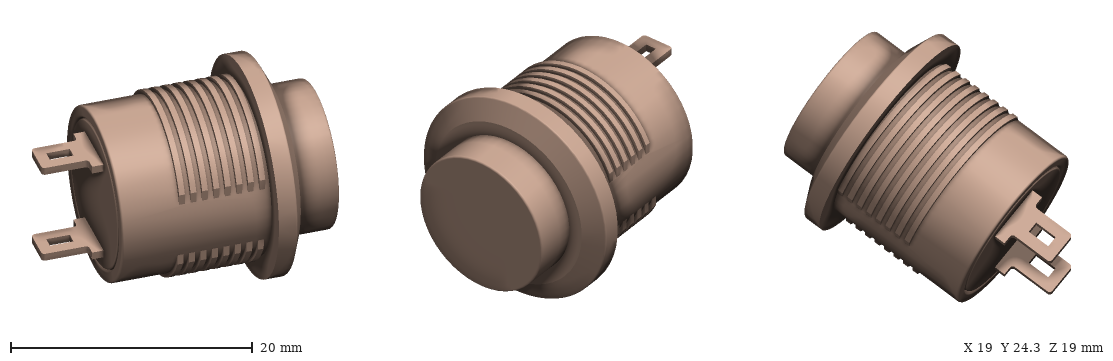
import cadquery as cq


body_length = 13.0
button_height = 6.3
terminal_length = 5.0

button_radius = 6.37
edge_fillet = 0.2

flange_radius = 9.5
flange_thickness = 2.5
flange_rim_width = 1.6
flange_front_radius = 7.65

body_radius = 7.5
bore_radius = 6.5
gap_depth = 0.49

thread_radius = 7.87
thread_turns = 8
thread_length = 8.0
thread_pitch = thread_length / thread_turns
thread_width = thread_pitch / 2
thread_start = 0.22
thread_embed = 0.36
flat_distance = 7.07

terminal_offset = 4.33
terminal_thickness = 0.68
shoulder_width = 5.05
shoulder_length = 1.0
tongue_width = 3.01
tongue_fillet = 0.3
slot_width = 1.0
slot_length = 2.05
slot_tip_margin = 1.0


def cylinder(radius, y_rear, y_front):
    """Cylinder on the Y axis between two Y positions."""
    front_plane = cq.Workplane("XZ", origin=(0, y_front, 0))
    return front_plane.circle(radius).extrude(y_front - y_rear)


def make_body():
    """Round barrel with an annular gap around the core at its rear end."""
    gap_front = gap_depth - body_length
    barrel = cylinder(body_radius, -body_length, 0)
    barrel = barrel.cut(cylinder(bore_radius, -body_length, gap_front))
    barrel = barrel.faces("<Y").edges().fillet(edge_fillet)
    core = cylinder(button_radius, -body_length, gap_front)
    return barrel.union(core.faces("<Y").edges().fillet(edge_fillet))


def make_flange():
    """Flange whose front face narrows as a cone, with a rounded rim corner."""
    outline = [
        (0, 0),
        (flange_radius, 0),
        (flange_radius, flange_rim_width),
        (flange_front_radius, flange_thickness),
        (0, flange_thickness),
    ]
    flange = cq.Workplane("XY").polyline(outline).close().revolve(360, (0, 0, 0), (0, 1, 0))
    rim_corner = cq.selectors.NearestToPointSelector((0, flange_rim_width, 0))
    return flange.edges("%CIRCLE").edges(rim_corner).fillet(edge_fillet)


def make_button():
    """Push button with a rounded front edge."""
    button = cylinder(button_radius, 0, button_height)
    return button.faces(">Y").edges().fillet(edge_fillet)


def make_thread():
    """Helical ridge, trimmed to the space between the two flats."""
    inner_radius = body_radius - thread_embed
    ridge_height = thread_radius - inner_radius
    helix = cq.Wire.makeHelix(thread_pitch, thread_length, inner_radius, lefthand=True)
    ridge = (
        cq.Workplane("XZ")
        .center(inner_radius + ridge_height / 2, 0)
        .rect(ridge_height, thread_width)
        .sweep(cq.Workplane(obj=helix), isFrenet=True)
    )
    ridge = ridge.rotate((0, 0, 0), (0, 0, 1), 180)
    ridge = ridge.rotate((0, 0, 0), (1, 0, 0), 90)
    ridge = ridge.translate((0, -thread_start, 0))
    between_flats = cq.Workplane("XY").box(2 * flat_distance, 2 * body_length, 2 * thread_radius)
    return ridge.intersect(between_flats)


def make_terminal(z_center):
    """T-shaped flat terminal with a rectangular wire slot."""
    y_base = -body_length
    y_tip = y_base - terminal_length
    y_shoulder = y_base - shoulder_length
    y_slot = y_tip + slot_tip_margin + slot_length / 2
    plane = cq.Workplane("XY", origin=(0, 0, z_center - terminal_thickness / 2))
    outline = [
        (-shoulder_width / 2, y_base),
        (-shoulder_width / 2, y_shoulder),
        (-tongue_width / 2, y_shoulder),
        (-tongue_width / 2, y_tip),
        (tongue_width / 2, y_tip),
        (tongue_width / 2, y_shoulder),
        (shoulder_width / 2, y_shoulder),
        (shoulder_width / 2, y_base),
    ]
    terminal = plane.polyline(outline).close().extrude(terminal_thickness)
    tongue_corners = cq.selectors.BoxSelector(
        (-tongue_width / 2 - tongue_fillet, y_tip - tongue_fillet, z_center - terminal_thickness),
        (tongue_width / 2 + tongue_fillet, y_shoulder + tongue_fillet, z_center + terminal_thickness),
    )
    terminal = terminal.edges("|Z").edges(tongue_corners).fillet(tongue_fillet)
    slot = plane.center(0, y_slot).rect(slot_width, slot_length).extrude(terminal_thickness)
    return terminal.cut(slot)


result = make_body().union(make_thread()).union(make_flange()).union(make_button())
for side in (-1, 1):
    result = result.union(make_terminal(side * terminal_offset))